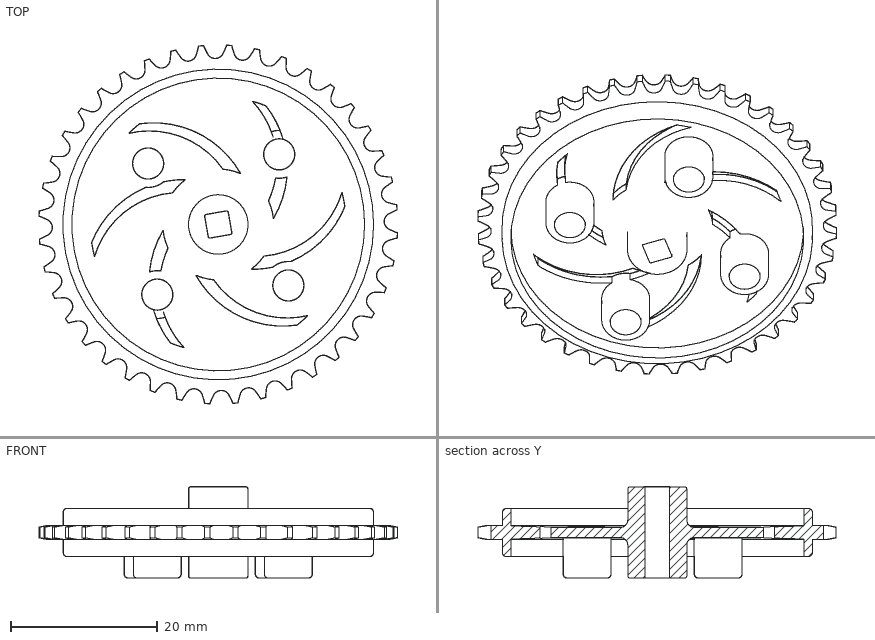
import cadquery as cq
import math

OUTER_SIZE = 49.0

TOOTH_COUNT = 40
TOOTH_PITCH = 360.0 / TOOTH_COUNT
FIRST_GAP_ANGLE = 1.0
TIP_HALF_ANGLE = 0.85
GAP_ROOT_RADIUS = 22.7
ROLLER_RADIUS = 1.2
FLANK_ANGLE = 25.0
FLANK_BEND = (24.1, 1.4)
TOOTH_HALF_THICKNESS = 1.0
TIP_HALF_THICKNESS = 0.75
TIP_BEVEL_RADIUS = 23.25

NEAREST_TOOTH_ANGLE = TOOTH_PITCH / 2 - FIRST_GAP_ANGLE
TIP_RADIUS = OUTER_SIZE / 2 / math.cos(math.radians(NEAREST_TOOTH_ANGLE - TIP_HALF_ANGLE))

RIM_RADIUS = 21.25
RIM_INNER_RADIUS = 20.0
RIM_HEIGHT = 6.6
RIM_HALF_HEIGHT = RIM_HEIGHT / 2
RIM_ROUNDING = 0.55

WEB_HALF_THICKNESS = 0.75
WEB_EDGE_HALF_THICKNESS = 0.95
WEB_FLAT_RADIUS = 14.1

HUB_RADIUS = 4.05
HUB_HEIGHT = 12.5
HUB_HALF_HEIGHT = HUB_HEIGHT / 2
HUB_ROUNDING = 0.3
HUB_BASE_FILLET = 1.0
SQUARE_WIDTH = 3.25
SQUARE_CORNER_RADIUS = 0.2
SQUARE_ANGLE = 10.0

BOSS_COUNT = 4
BOSS_CIRCLE_RADIUS = 12.7
BOSS_RADIUS = 3.3
BOSS_ROUNDING = 0.6
BOSS_HOLE_RADIUS = 2.1
FIRST_BOSS_ANGLE = 49.0

SLOT_COUNT = 6
SLOT_INNER_RADIUS = 7.6
SLOT_OUTER_RADIUS = 17.45
CONVEX_ARC_RADIUS = 13.65
CONVEX_ARC_CENTER = (8.8, 58.4)
CONCAVE_ARC_RADIUS = 12.25
CONCAVE_ARC_CENTER = (9.4, 56.7)


def polar(radius, angle):
    """Point at a distance from the wheel axis in a direction given in degrees."""
    return (radius * math.cos(math.radians(angle)), radius * math.sin(math.radians(angle)))


def cylinder(center, radius, bottom, top):
    return cq.Workplane("XY", origin=(*center, bottom)).circle(radius).extrude(top - bottom)


def around_axis(shape, count, first_angle=0.0):
    """Copies of a shape turned evenly about the wheel axis, as one workplane."""
    copies = cq.Workplane("XY")
    for index in range(count):
        angle = first_angle + index * 360.0 / count
        copies.add(shape.rotate((0, 0, 0), (0, 0, 1), angle).vals())
    return copies


def arc_corner(profile, start, end, center):
    """Continue a profile with a quarter round from start to end about center."""
    radius = abs(start[0] - center[0]) + abs(start[1] - center[1])
    reach = radius * math.sqrt(0.5)
    middle = tuple(
        c + math.copysign(reach, s + e - 2 * c) for s, e, c in zip(start, end, center)
    )
    return profile.lineTo(*start).threePointArc(middle, end)


def make_wheel():
    """Hub, web, rim and toothless ring turned as one piece."""
    hub_corner = (HUB_RADIUS - HUB_ROUNDING, HUB_HALF_HEIGHT - HUB_ROUNDING)
    hub_base = (HUB_RADIUS + HUB_BASE_FILLET, WEB_HALF_THICKNESS + HUB_BASE_FILLET)
    rim_corner = (RIM_RADIUS - RIM_ROUNDING, RIM_HALF_HEIGHT - RIM_ROUNDING)

    profile = cq.Workplane("XZ").lineTo(0, HUB_HALF_HEIGHT)
    profile = arc_corner(
        profile, (hub_corner[0], HUB_HALF_HEIGHT), (HUB_RADIUS, hub_corner[1]), hub_corner
    )
    profile = arc_corner(
        profile, (HUB_RADIUS, hub_base[1]), (hub_base[0], WEB_HALF_THICKNESS), hub_base
    )
    profile = (
        profile.lineTo(WEB_FLAT_RADIUS, WEB_HALF_THICKNESS)
        .lineTo(RIM_INNER_RADIUS, WEB_EDGE_HALF_THICKNESS)
        .lineTo(RIM_INNER_RADIUS, RIM_HALF_HEIGHT)
    )
    profile = arc_corner(
        profile, (rim_corner[0], RIM_HALF_HEIGHT), (RIM_RADIUS, rim_corner[1]), rim_corner
    )
    profile = (
        profile.lineTo(RIM_RADIUS, TOOTH_HALF_THICKNESS)
        .lineTo(TIP_BEVEL_RADIUS, TOOTH_HALF_THICKNESS)
        .lineTo(TIP_RADIUS, TIP_HALF_THICKNESS)
        .lineTo(TIP_RADIUS, 0)
        .close()
    )
    upper_half = profile.revolve(360.0, (0, 0), (0, 1))
    return upper_half.union(upper_half.mirror("XY")).clean()


def make_tooth_gaps():
    """Gaps with a round root and bent flanks that open at the tooth tips."""
    root_center = GAP_ROOT_RADIUS + ROLLER_RADIUS
    flank = math.radians(FLANK_ANGLE)
    flank_start_x = root_center - ROLLER_RADIUS * math.sin(flank)
    flank_start_y = ROLLER_RADIUS * math.cos(flank)
    bend_x, bend_y = FLANK_BEND
    tip_x, tip_y = polar(TIP_RADIUS, TOOTH_PITCH / 2 - TIP_HALF_ANGLE)
    beyond_tips = TIP_RADIUS + ROLLER_RADIUS
    gap = (
        cq.Workplane("XY", origin=(0, 0, -TOOTH_HALF_THICKNESS))
        .moveTo(flank_start_x, flank_start_y)
        .threePointArc((GAP_ROOT_RADIUS, 0), (flank_start_x, -flank_start_y))
        .lineTo(bend_x, -bend_y)
        .lineTo(tip_x, -tip_y)
        .lineTo(beyond_tips, -tip_y)
        .lineTo(beyond_tips, tip_y)
        .lineTo(tip_x, tip_y)
        .lineTo(bend_x, bend_y)
        .close()
        .extrude(2 * TOOTH_HALF_THICKNESS)
    )
    return around_axis(gap, TOOTH_COUNT, FIRST_GAP_ANGLE)


def make_slots():
    """Crescent slots that sweep outward through the web."""
    top = WEB_EDGE_HALF_THICKNESS
    crescents = (
        cylinder((0, 0), SLOT_OUTER_RADIUS, -top, top)
        .cut(cylinder((0, 0), SLOT_INNER_RADIUS, -top, top))
        .intersect(cylinder(polar(*CONVEX_ARC_CENTER), CONVEX_ARC_RADIUS, -top, top))
        .cut(cylinder(polar(*CONCAVE_ARC_CENTER), CONCAVE_ARC_RADIUS, -top, top))
    )
    slot = crescents.solids(">X")
    return around_axis(slot, SLOT_COUNT)


def make_bosses():
    boss = cylinder((BOSS_CIRCLE_RADIUS, 0), BOSS_RADIUS, -HUB_HALF_HEIGHT, WEB_HALF_THICKNESS)
    boss = boss.faces("<Z").edges().fillet(BOSS_ROUNDING)
    return around_axis(boss, BOSS_COUNT, FIRST_BOSS_ANGLE)


def make_boss_holes():
    hole = cylinder((BOSS_CIRCLE_RADIUS, 0), BOSS_HOLE_RADIUS, -HUB_HALF_HEIGHT, HUB_HALF_HEIGHT)
    return around_axis(hole, BOSS_COUNT, FIRST_BOSS_ANGLE)


def make_square_bore():
    bore = (
        cq.Workplane("XY", origin=(0, 0, -HUB_HALF_HEIGHT))
        .rect(SQUARE_WIDTH, SQUARE_WIDTH)
        .extrude(HUB_HEIGHT)
        .edges("|Z")
        .fillet(SQUARE_CORNER_RADIUS)
    )
    return bore.rotate((0, 0, 0), (0, 0, 1), SQUARE_ANGLE)


def cut_each(body, tools):
    return body.newObject([body.val().cut(*tools.vals())])


wheel = cut_each(make_wheel(), make_tooth_gaps())
wheel = cut_each(wheel, make_slots())

wheel = wheel.newObject([wheel.val().fuse(*make_bosses().vals()).clean()])
wheel = cut_each(wheel, make_boss_holes())
result = wheel.cut(make_square_bore())